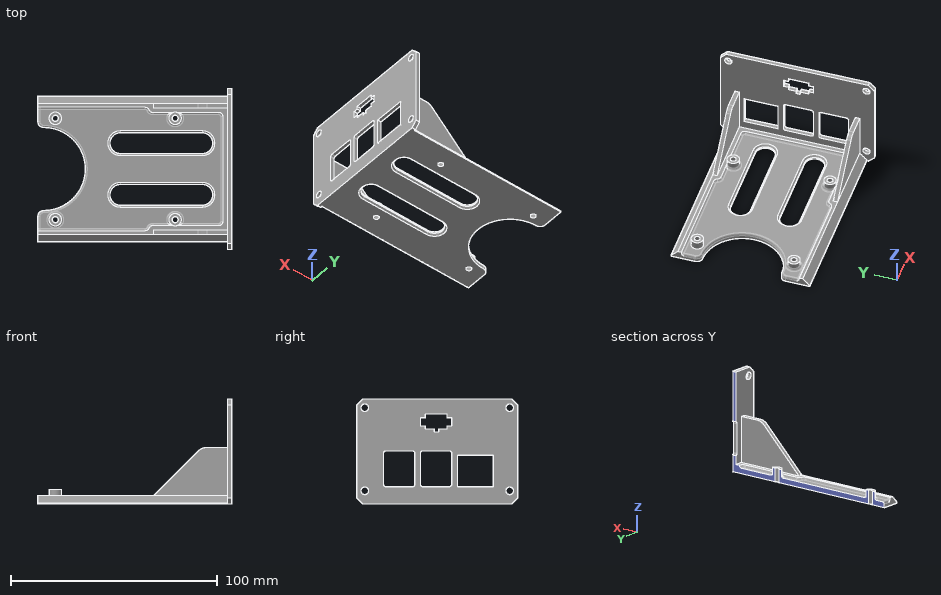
import cadquery as cq
import math

LENGTH = 93.9
PANEL_WIDTH = 78.0
PANEL_HEIGHT = 51.0
PANEL_THICKNESS = 2.2
PANEL_CORNER_CHAMFER = 3.0
PANEL_FRONT_X = LENGTH - PANEL_THICKNESS

TRAY_WIDTH = 70.4
TRAY_HEIGHT = 4.2
SIDE_BEVEL = 3.6
FLOOR_HEIGHT = 3.0
EDGE_RADIUS = 1.0
TRAY_TOP_HALF_WIDTH = TRAY_WIDTH / 2 - SIDE_BEVEL

POCKET_HALF_WIDTH = 29.9
POCKET_NARROW_HALF_WIDTH = 27.3
POCKET_END_X = 89.6
POCKET_STEP_X = 52.0
POCKET_CORNER_RADIUS = 2.0

RIM_OVERHANG = 2.8

NOTCH_RADIUS = 20.0
NOTCH_CORNER_RADIUS = 3.0

SLOT_WIDTH = 10.0
SLOT_LENGTH = 49.6
SLOT_CENTER_X = 59.8
SLOT_OFFSET_Y = 12.5
SLOT_CHAMFER = 1.0

BOSS_DIAMETER = 6.0
BOSS_HOLE_DIAMETER = 2.8
BOSS_HEIGHT = 4.1
BOSS_FIRST_X = 8.5
BOSS_SPACING_X = 57.9
BOSS_OFFSET_Y = 24.5

GUSSET_THICKNESS = 2.3
GUSSET_START_X = 56.1
GUSSET_TOP_Z = 27.5
GUSSET_RADIUS = 6.0

SCREW_HOLE_DIAMETER = 3.6
SCREW_HOLE_OFFSET_Y = 35.0
SCREW_HOLE_LOW_Z = 6.5
SCREW_HOLE_HIGH_Z = 46.7

PORT_BOTTOM_Z = 8.5
PORT_SHORT_SIDE = 15.0
PORT_LONG_SIDE = 17.2
PORT_CORNER_RADIUS = 1.0
WIDE_PORT_Y = 18.4
TALL_PORTS_Y = (-0.6, -18.4)

CONNECTOR_Y = -0.6
CONNECTOR_WINGS_WIDTH = 15.0
CONNECTOR_WINGS_Z = (37.9, 41.8)
CONNECTOR_BODY_WIDTH = 10.3
CONNECTOR_BODY_Z = (36.4, 43.6)
CONNECTOR_KEY_WIDTH = 2.0
CONNECTOR_KEY_Y = -0.4
CONNECTOR_KEY_BOTTOM_Z = 34.9


def tray_blank():
    """Plate with bevelled long sides and a thin upright strip below each bevel."""
    strip_top = TRAY_HEIGHT - SIDE_BEVEL
    half_width = TRAY_WIDTH / 2
    return (
        cq.Workplane("YZ", origin=(-RIM_OVERHANG, 0, 0))
        .moveTo(-half_width, 0)
        .lineTo(half_width, 0)
        .lineTo(half_width, strip_top)
        .lineTo(TRAY_TOP_HALF_WIDTH, TRAY_HEIGHT)
        .lineTo(-TRAY_TOP_HALF_WIDTH, TRAY_HEIGHT)
        .lineTo(-half_width, strip_top)
        .close()
        .extrude(RIM_OVERHANG + PANEL_FRONT_X)
    )


def block(start, end):
    """Box between two opposite corners."""
    size = [high - low for low, high in zip(start, end)]
    return cq.Workplane("XY").box(*size, centered=False).translate(start)


def notch_cutter():
    """Half disc whose ends flare into the free edge through rounded corners."""
    center_x = NOTCH_CORNER_RADIUS
    mouth = NOTCH_RADIUS + NOTCH_CORNER_RADIUS
    diagonal = NOTCH_CORNER_RADIUS * math.sqrt(0.5)
    corner_x = center_x - diagonal
    corner_y = mouth - diagonal
    return (
        cq.Workplane("XY")
        .moveTo(0, mouth)
        .threePointArc((corner_x, corner_y), (center_x, NOTCH_RADIUS))
        .threePointArc((center_x + NOTCH_RADIUS, 0), (center_x, -NOTCH_RADIUS))
        .threePointArc((corner_x, -corner_y), (0, -mouth))
        .close()
        .extrude(TRAY_HEIGHT)
    )


def pocket_cutter():
    """Recess above the floor, open at the free end and stepped in at the gussets."""
    step_depth = POCKET_HALF_WIDTH - POCKET_NARROW_HALF_WIDTH
    step_angle = math.acos(1 - step_depth / (2 * POCKET_CORNER_RADIUS))
    step_length = 2 * POCKET_CORNER_RADIUS * math.sin(step_angle)
    step_middle = (POCKET_STEP_X + step_length / 2, POCKET_HALF_WIDTH - step_depth / 2)
    step_end = (POCKET_STEP_X + step_length, POCKET_NARROW_HALF_WIDTH)
    half = (
        cq.Workplane("XY", origin=(0, 0, FLOOR_HEIGHT))
        .moveTo(-RIM_OVERHANG, 0)
        .lineTo(-RIM_OVERHANG, POCKET_HALF_WIDTH)
        .lineTo(POCKET_STEP_X, POCKET_HALF_WIDTH)
        .tangentArcPoint(step_middle, relative=False)
        .tangentArcPoint(step_end, relative=False)
        .lineTo(POCKET_END_X, POCKET_NARROW_HALF_WIDTH)
        .lineTo(POCKET_END_X, 0)
        .close()
        .extrude(TRAY_HEIGHT - FLOOR_HEIGHT)
    )
    pocket = half.union(half.mirror("XZ"))
    return pocket.edges("|Z and >X").fillet(POCKET_CORNER_RADIUS)


def slot_cutter(offset_y):
    """Slot through the floor, chamfered at its upper and lower rims."""
    slot = cq.Workplane("XY").slot2D(SLOT_LENGTH, SLOT_WIDTH).extrude(FLOOR_HEIGHT)
    lower_rim = (
        cq.Workplane("XY")
        .slot2D(SLOT_LENGTH + 2 * SLOT_CHAMFER, SLOT_WIDTH + 2 * SLOT_CHAMFER)
        .extrude(SLOT_CHAMFER, taper=45)
    )
    upper_rim = lower_rim.mirror("XY").translate((0, 0, FLOOR_HEIGHT))
    return slot.union(lower_rim).union(upper_rim).translate((SLOT_CENTER_X, offset_y, 0))


def floor_edges(start_x, end_x, half_width):
    """Selector for the edges at floor height within a stretch of the tray."""
    margin = 0.1
    return cq.selectors.BoxSelector(
        (start_x - margin, -half_width, FLOOR_HEIGHT - margin),
        (end_x + margin, half_width, FLOOR_HEIGHT + margin),
    )


def tray():
    overhang_gap = block(
        (-RIM_OVERHANG, -POCKET_HALF_WIDTH, 0), (0, POCKET_HALF_WIDTH, TRAY_HEIGHT)
    )
    overhang = block((-RIM_OVERHANG, -TRAY_WIDTH, 0), (0, TRAY_WIDTH, TRAY_HEIGHT))

    body = tray_blank().cut(overhang_gap).cut(notch_cutter()).cut(pocket_cutter())
    notch_end_x = NOTCH_CORNER_RADIUS + NOTCH_RADIUS
    body = body.edges(floor_edges(0, notch_end_x, POCKET_NARROW_HALF_WIDTH)).fillet(EDGE_RADIUS)
    body = body.edges(floor_edges(POCKET_END_X, POCKET_END_X, 0.9)).fillet(EDGE_RADIUS)
    body = body.cut(overhang)

    for side in (-1, 1):
        body = body.cut(slot_cutter(side * SLOT_OFFSET_Y))
    return body


def boss(x, y, flared):
    """Round boss on the floor; a flared one has a concave fillet around its foot."""
    radius = BOSS_DIAMETER / 2
    column = cq.Workplane("XY", origin=(x, y, FLOOR_HEIGHT)).circle(radius).extrude(BOSS_HEIGHT)
    if not flared:
        return column
    middle = EDGE_RADIUS * (1 - math.sqrt(0.5))
    foot = (
        cq.Workplane("XZ", origin=(x, y, FLOOR_HEIGHT))
        .lineTo(radius + EDGE_RADIUS, 0)
        .threePointArc((radius + middle, middle), (radius, EDGE_RADIUS))
        .lineTo(0, EDGE_RADIUS)
        .close()
        .revolve(360, (0, 0), (0, 1))
    )
    return column.union(foot)


def add_bosses(body):
    for x in (BOSS_FIRST_X, BOSS_FIRST_X + BOSS_SPACING_X):
        for y in (-BOSS_OFFSET_Y, BOSS_OFFSET_Y):
            flared = x > BOSS_FIRST_X or y < 0
            hole = (
                cq.Workplane("XY")
                .center(x, y)
                .circle(BOSS_HOLE_DIAMETER / 2)
                .extrude(FLOOR_HEIGHT + BOSS_HEIGHT)
            )
            body = body.union(boss(x, y, flared)).cut(hole)
    return body


def gusset(outer_y):
    """Upright web at 45 degrees, extending towards +Y from its lower-Y face."""
    top_start_x = GUSSET_START_X + GUSSET_TOP_Z - TRAY_HEIGHT
    web = (
        cq.Workplane("XZ", origin=(0, outer_y, 0))
        .moveTo(GUSSET_START_X, TRAY_HEIGHT)
        .lineTo(top_start_x, GUSSET_TOP_Z)
        .lineTo(PANEL_FRONT_X, GUSSET_TOP_Z)
        .lineTo(PANEL_FRONT_X, TRAY_HEIGHT)
        .close()
        .extrude(-GUSSET_THICKNESS)
    )
    return web.edges("|Y").edges(">Z").edges("<X").fillet(GUSSET_RADIUS)


def panel_block(center_y, width, bottom_z, top_z):
    """Block through the full thickness of the panel."""
    return block(
        (PANEL_FRONT_X, center_y - width / 2, bottom_z), (LENGTH, center_y + width / 2, top_z)
    )


def panel():
    plate = panel_block(0, PANEL_WIDTH, 0, PANEL_HEIGHT)
    plate = plate.edges("|X").chamfer(PANEL_CORNER_CHAMFER)

    for y in (-SCREW_HOLE_OFFSET_Y, SCREW_HOLE_OFFSET_Y):
        for z in (SCREW_HOLE_LOW_Z, SCREW_HOLE_HIGH_Z):
            hole = (
                cq.Workplane("YZ", origin=(PANEL_FRONT_X, y, z))
                .circle(SCREW_HOLE_DIAMETER / 2)
                .extrude(PANEL_THICKNESS)
            )
            plate = plate.cut(hole)

    plate = plate.cut(
        panel_block(WIDE_PORT_Y, PORT_LONG_SIDE, PORT_BOTTOM_Z, PORT_BOTTOM_Z + PORT_SHORT_SIDE)
    )
    for y in TALL_PORTS_Y:
        port = panel_block(y, PORT_SHORT_SIDE, PORT_BOTTOM_Z, PORT_BOTTOM_Z + PORT_LONG_SIDE)
        plate = plate.cut(port.edges("|X").fillet(PORT_CORNER_RADIUS))

    wings = panel_block(CONNECTOR_Y, CONNECTOR_WINGS_WIDTH, *CONNECTOR_WINGS_Z)
    middle = panel_block(CONNECTOR_Y, CONNECTOR_BODY_WIDTH, *CONNECTOR_BODY_Z)
    key = panel_block(
        CONNECTOR_KEY_Y, CONNECTOR_KEY_WIDTH, CONNECTOR_KEY_BOTTOM_Z, CONNECTOR_BODY_Z[1]
    )
    return plate.cut(wings).cut(middle).cut(key)


result = add_bosses(tray())
for gusset_y in (-TRAY_TOP_HALF_WIDTH, TRAY_TOP_HALF_WIDTH - GUSSET_THICKNESS):
    result = result.union(gusset(gusset_y))
result = result.union(panel())